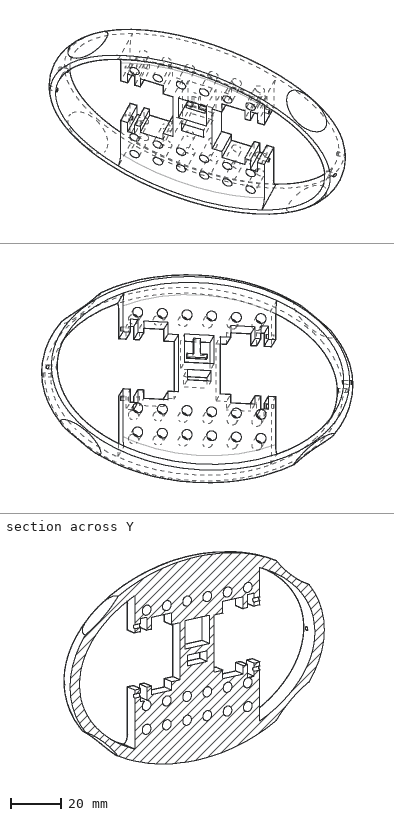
import cadquery as cq
import math

ring_length = 126.0
ring_height = 85.7
ring_width = 15.0
crown = 2.5
wall_at_edge = 2.4

scallop_radius = 50.0
scallop_axis_x = 78.1
scallop_axis_z = 65.0

cord_hole_diameter = 1.5
cord_hole_y = 5.5

plate_width = 62.0
plate_thickness = 10.0
cove_radius = 5.0
gap_top = 16.5
gap_bottom = -7.3
column_width = 17.0

slot_x = 26.5
slot_width = 3.0
slot_depth = 5.4
recess_x = 17.6
recess_width = 9.8
recess_top = 21.4
recess_bottom = -10.8

grid_span = 50.0
grid_columns = 6
grid_pitch = grid_span / (grid_columns - 1)
grid_rows_z = (2.5 * grid_pitch, -1.5 * grid_pitch, -2.5 * grid_pitch)
grid_hole_diameter = 4.0
pin_hole_diameter = 1.5
pin_hole_inset = 2.6

window_width = 12.0
window_bottom = 5.2
window_top = 16.9
port_width = 9.6
port_bottom = -2.1
port_top = 2.1

stem_width = 2.8
bar_width = 8.2
bar_bottom = 9.0
bar_top = 10.5
hanger_front = -2.0
hanger_back = 0.0

outer_a = ring_length / 2
outer_b = ring_height / 2
inner_a = outer_a - crown - wall_at_edge
inner_b = outer_b - crown - wall_at_edge


def block(x0, x1, z0, z1, y0=-ring_width, y1=ring_width):
    """Box given by its limits along X, Z and Y."""
    size = (x1 - x0, y1 - y0, z1 - z0)
    return cq.Workplane("XY").box(*size, centered=False).translate((x0, y0, z0))


def ellipse_prism(a, b, depth):
    """Elliptical prism centred on the origin, extruded along Y."""
    return cq.Workplane("XZ", origin=(0, depth / 2, 0)).ellipse(a, b).extrude(depth)


def make_ring():
    """Elliptical ring whose outer surface bulges as an arc."""
    half = ring_width / 2
    edge_a = outer_a - crown
    edge_b = outer_b - crown
    core_a = inner_a - wall_at_edge
    path = cq.Workplane("XZ").ellipse(edge_a, edge_b)
    rim = (
        cq.Workplane("XY")
        .moveTo(core_a, -half)
        .lineTo(edge_a, -half)
        .threePointArc((outer_a, 0), (edge_a, half))
        .lineTo(core_a, half)
        .close()
        .sweep(path)
    )
    return rim.cut(ellipse_prism(inner_a, inner_b, 2 * ring_width))


def make_plate():
    """Plate inside the ring with a cove along the wall on both faces, notched from both sides."""
    depth = 3 * ring_width
    face_y = plate_thickness / 2
    recess = (ring_width - plate_thickness) / 2
    cove_run = math.sqrt(cove_radius**2 - (cove_radius - recess) ** 2)
    outset = cove_radius - cove_run
    blank = ellipse_prism(outer_a + crown, outer_b + crown, depth)
    for y in (-depth / 2, face_y):
        cavity = cq.Workplane("XZ", origin=(0, y, 0)).ellipse(inner_a + outset, inner_b + outset)
        blank = blank.cut(cavity.extrude(face_y - depth / 2))
    for y in (-face_y, face_y):
        near, far = y - recess / 2, y + recess / 2
        rim = cq.selectors.BoxSelector((-outer_a, near, -outer_b), (outer_a, far, outer_b))
        blank = blank.edges(rim).fillet(cove_radius)
    plate = blank.intersect(ellipse_prism(inner_a, inner_b, ring_width))
    return plate.cut(make_side_openings())


def make_side_openings():
    """Material removed left and right of the column, with the slots and recesses."""
    slot = (slot_x - slot_width / 2, slot_x + slot_width / 2)
    recess = (recess_x - recess_width / 2, recess_x + recess_width / 2)
    openings = block(plate_width / 2, outer_a, -outer_b, outer_b)
    openings = openings.union(block(column_width / 2, outer_a, gap_bottom, gap_top))
    openings = openings.union(block(*slot, gap_bottom - slot_depth, gap_top + slot_depth))
    openings = openings.union(block(*recess, recess_bottom, recess_top))
    return openings.union(openings.mirror("YZ"))


def cut_column_openings(body):
    """Cut the window and the port, then hang the T in the window."""
    body = body.cut(block(-window_width / 2, window_width / 2, window_bottom, window_top))
    body = body.cut(block(-port_width / 2, port_width / 2, port_bottom, port_top))
    stem = block(-stem_width / 2, stem_width / 2, bar_bottom, window_top, hanger_front, hanger_back)
    bar = block(-bar_width / 2, bar_width / 2, bar_bottom, bar_top, hanger_front, hanger_back)
    return body.union(stem.union(bar))


def cut_grid_holes(body):
    """Rows of round holes through the plate."""
    middle = (grid_columns - 1) / 2
    centres = [((column - middle) * grid_pitch, z) for z in grid_rows_z for column in range(grid_columns)]
    holes = cq.Workplane("XZ").pushPoints(centres).circle(grid_hole_diameter / 2)
    return body.cut(holes.extrude(ring_width, both=True))


def cut_cross_holes(body):
    """Cord holes through the ring ends and pin holes through the outer ears."""
    for side in (-1, 1):
        for y in (-cord_hole_y, cord_hole_y):
            start = cq.Workplane("YZ", origin=(side * (inner_a + outer_a) / 2, y, 0))
            body = body.cut(start.circle(cord_hole_diameter / 2).extrude(outer_a - inner_a, both=True))
        pin_start = cq.Workplane("YZ", origin=(side * slot_x, 0, 0))
        for z in (gap_top + pin_hole_inset, gap_bottom - pin_hole_inset):
            pin_hole = pin_start.center(0, z).circle(pin_hole_diameter / 2)
            body = body.cut(pin_hole.extrude(side * (plate_width / 2 - slot_x)))
    return body


def cut_scallops(body):
    """Four shallow hollows across the outside of the ring."""
    for x in (-scallop_axis_x, scallop_axis_x):
        for z in (-scallop_axis_z, scallop_axis_z):
            scallop = cq.Workplane("XZ", origin=(x, 0, z)).circle(scallop_radius)
            body = body.cut(scallop.extrude(ring_width, both=True))
    return body


result = make_ring().union(make_plate())
result = cut_column_openings(result)
result = cut_grid_holes(result)
result = cut_cross_holes(result)
result = cut_scallops(result)